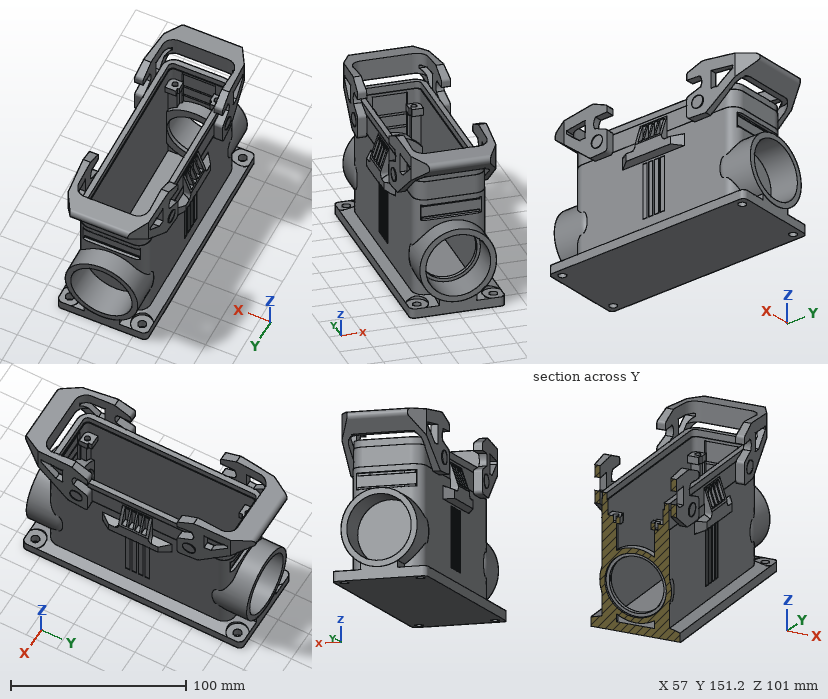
import cadquery as cq
import math

FLANGE_X = 57.0
FLANGE_Y = 144.2
FLANGE_Z = 5.9
FLANGE_CORNER_R = 3.0
SLOPE_TOP_Z = 7.8
SCREW_X = 22.9
SCREW_Y = 66.3
SCREW_HOLE_D = 5.0
SPOTFACE_R = 6.6

BODY_HALF_X = 21.85
BODY_HALF_Y = 60.1
BODY_CORNER_R = 7.5
PARTING_Z = 68.1
RIM_Z = 79.7
BODY_TOP_Z = 83.9
RIM_STEP = 0.15
FLOOR_Z = FLANGE_Z
MOUTH_HALF_X = 18.2
MOUTH_HALF_Y = 56.5
MOUTH_CORNER_R = 3.0
CAVITY_STEP = 0.5

PORT_Z = 30.0
PORT_R = 23.0
PORT_BORE_R = 19.4
PORT_THROAT_R = 17.4
PORT_END_Y = FLANGE_Y / 2 + 0.2
PORT_INNER_Y = 50.5
PORT_LEDGE_Y = 53.0
PORT_ROOT_Y = 46.7
PORT_ROOT_FILLET = 5.7
WEB_HALF_X = 11.2

LABEL_HALF_X = 18.2
LABEL_BOTTOM_Z = 55.2
LABEL_TOP_Z = 64.7
LABEL_DEPTH = 1.5
LABEL_CHANNEL_HALF_X = 17.4
LABEL_CHANNEL_Z = 1.4
LABEL_CHANNEL_DEPTH = 0.5

LUG_INNER_X = 10.8
LUG_INNER_Y = 48.3
LUG_TOP_Z = 70.5
LUG_Z = 4.5
LUG_HOLE_X = 13.3
LUG_HOLE_Y = 52.7
LUG_HOLE_D = 3.4
LUG_HOLE_DEPTH = 4.0
LUG_ROOT_X = 9.7
LUG_ROOT_Y = 50.6
COLUMN_INNER_X = 12.0
COLUMN_INNER_Y = 52.7

RECESS_HALF_X = 10.5
RECESS_Y = 57.6
RECESS_TOP_Z = 78.0

CATCH_OUT_X = 26.6
CATCH_ROOT_X = 20.5
CATCH_HALF_Y = 22.8
CATCH_FACE_HALF_Y = 16.3
CATCH_BOTTOM_Z = 54.1
CATCH_TOP_Z = 61.9
CATCH_BOTTOM_BEVEL = 1.3
CATCH_TOP_BEVEL = 1.5
NECK_HALF_Y = 9.8
NECK_SHOULDER_Z = 64.0
NECK_TOP_Z = 78.0
NECK_FILLET = 2.8

SLOT_COUNT = 4
SLOT_WIDTH = 3.0
SLOT_PITCH = 4.27
SLOT_BOTTOM_Z = 65.3
SLOT_TOP_Z = 77.0
STRIPE_BOTTOM_Z = 16.9
STRIPE_TOP_Z = 52.7
STRIPE_DEPTH = 0.3

LEVER_TOP_Z = 101.0
LEVER_NOSE_Y = 75.6
LEVER_APEX_Y = 79.7
LEVER_APEX_Z = 97.2
LEVER_TIP_Y = 29.3
LEVER_BOTTOM_Z = 66.5
LEVER_INNER_X = 22.4
LEVER_INNER_Y = 62.2
LEVER_INNER_R = 7.0
LEVER_RELIEF_Y = 66.4
LEVER_RELIEF_Z = 86.2
LEVER_EDGE_R = 2.1
HOOK_THROAT_Y = 39.8
LEVER_HEEL = (42.6, LEVER_BOTTOM_Z)
LEVER_CREST_OUTER = (42.0, LEVER_TOP_Z)
LEVER_CREST_INNER = (39.9, LEVER_TOP_Z)
LEVER_HOOK_TIP = (LEVER_TIP_Y, 96.3)
HOOK_TOP = (38.2, 91.8)
HOOK_BOTTOM = (38.9, 84.5)
LEVER_FOOT_TIP = (LEVER_TIP_Y, 80.6)
LEVER_WINDOW = [(61.2, 91.5), (46.4, 92.8), (46.4, 81.3), (50.8, 81.3), (61.2, 89.7)]
LEVER_HALF_PLAN = [(27.9, LEVER_TIP_Y), (25.5, 63.1), (18.2, LEVER_NOSE_Y)]
PIN_Y = 37.0
PIN_Z = 75.3
PIN_R = 4.1
PIN_END_X = 27.75

SIGNS = (-1, 1)


def box(x_range, y_range, z_range):
    """Box between pairs of limits; each pair may be given in either order."""
    (x0, x1), (y0, y1), (z0, z1) = (sorted(pair) for pair in (x_range, y_range, z_range))
    return cq.Workplane("XY").box(x1 - x0, y1 - y0, z1 - z0, centered=False).translate((x0, y0, z0))


def rounded_block(half_x, half_y, corner_r, bottom_z, top_z):
    """Upright block centred on Z with rounded vertical edges."""
    block = box((-half_x, half_x), (-half_y, half_y), (bottom_z, top_z))
    return block.edges("|Z").fillet(corner_r)


def rod_y(radius, start_y, end_y, z):
    """Cylinder along Y centred on X = 0."""
    low_y, high_y = sorted((start_y, end_y))
    return cq.Workplane("XZ", origin=(0, low_y, z)).circle(radius).extrude(low_y - high_y)


def rod_x(radius, start_x, end_x, y, z):
    """Cylinder along X."""
    low_x, high_x = sorted((start_x, end_x))
    return cq.Workplane("YZ", origin=(low_x, y, z)).circle(radius).extrude(high_x - low_x)


def make_flange():
    """Mounting flange whose top slopes up to the shell."""
    plate = rounded_block(FLANGE_X / 2, FLANGE_Y / 2, FLANGE_CORNER_R, 0, FLANGE_Z)
    slope = (
        cq.Workplane("XY", origin=(0, 0, FLANGE_Z))
        .rect(FLANGE_X, FLANGE_Y)
        .workplane(offset=SLOPE_TOP_Z - FLANGE_Z)
        .rect(2 * BODY_HALF_X, 2 * BODY_HALF_Y)
        .loft()
    )
    trim = rounded_block(FLANGE_X / 2, FLANGE_Y / 2, FLANGE_CORNER_R, 0, SLOPE_TOP_Z)
    flange = plate.union(slope.intersect(trim))
    screws = cq.Workplane("XY").rect(2 * SCREW_X, 2 * SCREW_Y, forConstruction=True).vertices()
    holes = screws.circle(SCREW_HOLE_D / 2).extrude(SLOPE_TOP_Z)
    spotfaces = (
        cq.Workplane("XY", origin=(0, 0, FLANGE_Z))
        .rect(2 * SCREW_X, 2 * SCREW_Y, forConstruction=True)
        .vertices()
        .circle(SPOTFACE_R)
        .extrude(SLOPE_TOP_Z)
    )
    return flange.cut(holes).cut(spotfaces)


def make_shell():
    """Solid body in three tiers, each slightly smaller than the one below."""
    tier_levels = (0, PARTING_Z, RIM_Z, BODY_TOP_Z)
    shell = None
    for tier in range(len(tier_levels) - 1):
        inset = tier * RIM_STEP
        block = rounded_block(
            BODY_HALF_X - inset, BODY_HALF_Y - inset, BODY_CORNER_R, tier_levels[tier], tier_levels[tier + 1]
        )
        shell = block if shell is None else shell.union(block)
    return shell


def make_port(end):
    """Outside of one cable port with its rounded root and supporting web."""
    root_side = "<Y" if end > 0 else ">Y"
    tube = rod_y(PORT_R, end * PORT_ROOT_Y, end * PORT_END_Y, PORT_Z)
    tube = tube.faces(root_side).edges().fillet(PORT_ROOT_FILLET)
    web = box((-WEB_HALF_X, WEB_HALF_X), (end * BODY_HALF_Y, end * FLANGE_Y / 2), (0, PORT_Z))
    return tube.union(web)


def make_cavity():
    """Interior: a mouth, a slightly smaller well below it and a recess in each end wall."""
    mouth = rounded_block(MOUTH_HALF_X, MOUTH_HALF_Y, MOUTH_CORNER_R, RIM_Z, BODY_TOP_Z)
    well = rounded_block(
        MOUTH_HALF_X - CAVITY_STEP, MOUTH_HALF_Y - CAVITY_STEP, MOUTH_CORNER_R, FLOOR_Z, RIM_Z
    )
    recess = box((-RECESS_HALF_X, RECESS_HALF_X), (-RECESS_Y, RECESS_Y), (FLOOR_Z, RECESS_TOP_Z))
    return mouth.union(well).union(recess)


def make_port_stub(end):
    """Part of the port tube that stands inside the cavity."""
    stub = rod_y(PORT_R, end * PORT_INNER_Y, end * BODY_HALF_Y, PORT_Z)
    side = (-BODY_HALF_X + RIM_STEP, BODY_HALF_X - RIM_STEP)
    keep = box(side, (end * PORT_INNER_Y, end * RECESS_Y), (FLOOR_Z, BODY_TOP_Z))
    return stub.intersect(keep)


def make_label_groove(end):
    """Label seat across an end wall with a deeper channel along its top and bottom."""
    side = (-LABEL_HALF_X, LABEL_HALF_X)
    channel_side = (-LABEL_CHANNEL_HALF_X, LABEL_CHANNEL_HALF_X)
    floor_y = BODY_HALF_Y - LABEL_DEPTH
    channel_y = floor_y - LABEL_CHANNEL_DEPTH
    groove = box(side, (end * floor_y, end * BODY_HALF_Y), (LABEL_BOTTOM_Z, LABEL_TOP_Z))
    for bottom_z in (LABEL_BOTTOM_Z, LABEL_TOP_Z - LABEL_CHANNEL_Z):
        height = (bottom_z, bottom_z + LABEL_CHANNEL_Z)
        groove = groove.union(box(channel_side, (end * channel_y, end * floor_y), height))
    return groove


def make_lug(side, end):
    """Corner lug with a blind screw hole, carried on a column."""
    wall_x = side * MOUTH_HALF_X
    wall_y = end * MOUTH_HALF_Y
    lug_bottom_z = LUG_TOP_Z - LUG_Z
    lug_height = (lug_bottom_z, LUG_TOP_Z)
    nose = box((side * LUG_INNER_X, wall_x), (end * LUG_INNER_Y, wall_y), lug_height)
    root = box((side * LUG_ROOT_X, wall_x), (end * LUG_ROOT_Y, wall_y), lug_height)
    column = box((side * COLUMN_INNER_X, wall_x), (end * COLUMN_INNER_Y, wall_y), (FLOOR_Z, lug_bottom_z))
    hole = (
        cq.Workplane("XY", origin=(side * LUG_HOLE_X, end * LUG_HOLE_Y, LUG_TOP_Z))
        .circle(LUG_HOLE_D / 2)
        .extrude(-LUG_HOLE_DEPTH)
    )
    return nose.union(root).union(column).cut(hole)


def slot_centres():
    """Y positions of the evenly spaced grip slots."""
    return [(index - (SLOT_COUNT - 1) / 2) * SLOT_PITCH for index in range(SLOT_COUNT)]


def make_catch():
    """Catch on the +X side: a bevelled bar with a slotted wedge above it."""
    mid_z = (CATCH_BOTTOM_Z + CATCH_TOP_Z) / 2
    face_mid_z = mid_z + (CATCH_BOTTOM_BEVEL - CATCH_TOP_BEVEL) / 2
    face_z = CATCH_TOP_Z - CATCH_BOTTOM_Z - CATCH_BOTTOM_BEVEL - CATCH_TOP_BEVEL
    bar = (
        cq.Workplane("YZ", origin=(BODY_HALF_X, 0, 0))
        .center(0, mid_z)
        .rect(2 * CATCH_HALF_Y, CATCH_TOP_Z - CATCH_BOTTOM_Z)
        .workplane(offset=CATCH_OUT_X - BODY_HALF_X)
        .center(0, face_mid_z - mid_z)
        .rect(2 * CATCH_FACE_HALF_Y, face_z)
        .loft()
    )
    neck_bottom_z = CATCH_TOP_Z - CATCH_TOP_BEVEL
    flare_y = NECK_HALF_Y + NECK_FILLET
    flare_z = neck_bottom_z + NECK_FILLET
    neck_plan = (
        cq.Workplane("YZ", origin=(CATCH_ROOT_X, 0, 0))
        .moveTo(-flare_y, neck_bottom_z)
        .lineTo(flare_y, neck_bottom_z)
        .radiusArc((NECK_HALF_Y, flare_z), NECK_FILLET)
        .lineTo(NECK_HALF_Y, NECK_TOP_Z)
        .lineTo(-NECK_HALF_Y, NECK_TOP_Z)
        .lineTo(-NECK_HALF_Y, flare_z)
        .radiusArc((-flare_y, neck_bottom_z), NECK_FILLET)
        .close()
        .extrude(CATCH_OUT_X - CATCH_ROOT_X)
    )
    wedge = (
        cq.Workplane("XZ")
        .polyline([
            (CATCH_ROOT_X, CATCH_BOTTOM_Z),
            (CATCH_OUT_X, CATCH_BOTTOM_Z),
            (CATCH_OUT_X, NECK_SHOULDER_Z),
            (BODY_HALF_X, NECK_TOP_Z),
            (CATCH_ROOT_X, NECK_TOP_Z),
        ])
        .close()
        .extrude(CATCH_HALF_Y, both=True)
    )
    catch = bar.union(neck_plan.intersect(wedge))
    for y in slot_centres():
        width = (y - SLOT_WIDTH / 2, y + SLOT_WIDTH / 2)
        catch = catch.cut(box((BODY_HALF_X, CATCH_OUT_X), width, (SLOT_BOTTOM_Z, SLOT_TOP_Z)))
    return catch


def make_stripes():
    """Shallow stripes in the +X wall below the catch."""
    stripes = cq.Workplane("XY")
    for y in slot_centres():
        width = (y - SLOT_WIDTH / 2, y + SLOT_WIDTH / 2)
        depth = (BODY_HALF_X - STRIPE_DEPTH, BODY_HALF_X)
        stripes = stripes.add(box(depth, width, (STRIPE_BOTTOM_Z, STRIPE_TOP_Z)))
    return stripes.combine()


def nose_radius(heel, crest):
    """Radius that rounds the nose apex back to LEVER_NOSE_Y."""
    lower_angle = math.atan2(LEVER_APEX_Z - heel[1], LEVER_APEX_Y - heel[0])
    upper_angle = math.atan2(LEVER_APEX_Z - crest[1], LEVER_APEX_Y - crest[0])
    bisector = (lower_angle + upper_angle) / 2
    half_angle = (lower_angle - upper_angle) / 2
    return (LEVER_APEX_Y - LEVER_NOSE_Y) / (math.cos(bisector) / math.sin(half_angle) - 1)


def make_lever_side():
    """Side profile of the lever across the full width, with its hook and window."""
    throat_mid_z = (HOOK_TOP[1] + HOOK_BOTTOM[1]) / 2
    profile = (
        cq.Workplane("YZ", origin=(-FLANGE_X / 2, 0, 0))
        .moveTo(*LEVER_HEEL)
        .lineTo(LEVER_APEX_Y, LEVER_APEX_Z)
        .lineTo(*LEVER_CREST_OUTER)
        .lineTo(*LEVER_CREST_INNER)
        .lineTo(*LEVER_HOOK_TIP)
        .lineTo(LEVER_TIP_Y, HOOK_TOP[1])
        .lineTo(*HOOK_TOP)
        .threePointArc((HOOK_THROAT_Y, throat_mid_z), HOOK_BOTTOM)
        .lineTo(*LEVER_FOOT_TIP)
        .lineTo(LEVER_TIP_Y, LEVER_BOTTOM_Z)
        .close()
        .extrude(FLANGE_X)
    )
    profile = profile.edges("|X and >Y").fillet(nose_radius(LEVER_HEEL, LEVER_CREST_OUTER))
    tip_corners = profile.edges("|X and <Y")
    rounded_corners = tip_corners.filter(lambda edge: abs(edge.Center().z - HOOK_TOP[1]) > LEVER_EDGE_R)
    profile = rounded_corners.fillet(LEVER_EDGE_R)
    window = (
        cq.Workplane("YZ", origin=(-FLANGE_X / 2, 0, 0))
        .polyline(LEVER_WINDOW)
        .close()
        .extrude(FLANGE_X)
    )
    return profile.cut(window)


def lever_opening(end_y, top_z):
    """Space between the lever arms up to the cross bar, with rounded corners."""
    opening = box((-LEVER_INNER_X, LEVER_INNER_X), (0, end_y), (0, top_z))
    return opening.edges("|Z and >Y").fillet(LEVER_INNER_R)


def make_lever():
    """Locking lever at the +Y end with its pivot pins."""
    mirrored_outline = [(-x, y) for x, y in reversed(LEVER_HALF_PLAN)]
    outer_plan = cq.Workplane("XY").polyline(LEVER_HALF_PLAN + mirrored_outline).close().extrude(LEVER_TOP_Z)
    lever = make_lever_side().intersect(outer_plan)
    lever = lever.cut(lever_opening(LEVER_INNER_Y, LEVER_TOP_Z))
    lever = lever.cut(lever_opening(LEVER_RELIEF_Y, LEVER_RELIEF_Z))
    for side in SIGNS:
        lever = lever.union(rod_x(PIN_R, side * CATCH_ROOT_X, side * PIN_END_X, PIN_Y, PIN_Z))
    return lever


def make_part():
    part = make_shell().union(make_flange())
    for end in SIGNS:
        part = part.union(make_port(end))
    part = part.cut(make_cavity())
    for end in SIGNS:
        part = part.union(make_port_stub(end))
        for side in SIGNS:
            part = part.union(make_lug(side, end))
        part = part.cut(rod_y(PORT_BORE_R, end * PORT_LEDGE_Y, end * PORT_END_Y, PORT_Z))
        part = part.cut(make_label_groove(end))
    part = part.cut(rod_y(PORT_THROAT_R, -PORT_INNER_Y, -PORT_LEDGE_Y, PORT_Z))

    catch = make_catch()
    stripes = make_stripes()
    part = part.union(catch).union(catch.mirror("YZ"))
    part = part.cut(stripes).cut(stripes.mirror("YZ"))

    lever = make_lever()
    return part.union(lever).union(lever.mirror("XZ"))


result = make_part()